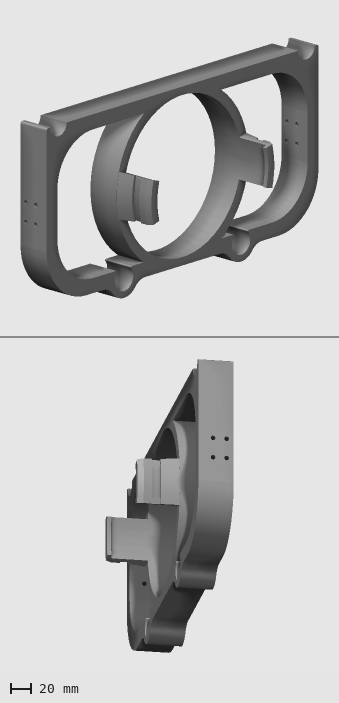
import cadquery as cq
import math

length = 380.0
depth = 34.5
half_height = 90.0
wall = 15.2
outer_corner_radius = 55.5
window_corner_radius = 49.5
top_edge_radius = 2.3

ring_inner_radius = 81.7
ring_outer_radius = 92.5

notch_radius = 11.5
notch_offset = 173.3
socket_offset = 81.7
socket_radius = 13.0
socket_lip_radius = 1.0
boss_radius = 19.8
socket_z = boss_radius - 104.5
boss_blend_radius = 18.0

screw_diameter = 4.5
screw_x_positions = (7.0, 20.0)
screw_z_offset = 10.0

arm_angle = 30.0
arm_end = 75.0
arm_root_radius = 92.0
arm_taper_radius = 89.3
groove_start = 52.5
groove_end = 60.8
groove_radius = 86.5
head_radius = 88.5
head_chamfer_start = 69.0
head_end_radius = 86.0
hook_tip_radius = 76.5
hook_start = 71.0
hook_corner_radius = 2.3
hook_tip_chamfer = 1.0


def cylinder(radius, y, z):
    """Cylinder along X through the full frame depth."""
    return cq.Workplane("YZ").center(y, z).circle(radius).extrude(depth)


def rounded_frame():
    body = cq.Workplane("YZ").rect(length, 2 * half_height).extrude(depth)
    body = body.edges("|X and <Z").fillet(outer_corner_radius)
    body = body.edges("|X and >Z").fillet(top_edge_radius)
    window = (
        cq.Workplane("YZ")
        .rect(length - 2 * wall, 2 * (half_height - wall))
        .extrude(depth)
        .edges("|X")
        .fillet(window_corner_radius)
    )
    return body.cut(window)


def socket_boss(y):
    """Round boss below the bottom bar, blended into it by tangent concave arcs."""
    bar_bottom = -half_height
    blend_z = bar_bottom - boss_blend_radius
    centre_distance = boss_radius + boss_blend_radius
    blend_dy = math.sqrt(centre_distance**2 - (socket_z - blend_z) ** 2)
    tangent_ratio = boss_radius / centre_distance
    tangent_dy = blend_dy * tangent_ratio
    tangent_z = socket_z + (blend_z - socket_z) * tangent_ratio
    blend_angle = (math.pi / 2 + math.atan2(socket_z - blend_z, blend_dy)) / 2
    middle_dy = blend_dy - boss_blend_radius * math.cos(blend_angle)
    middle_z = blend_z + boss_blend_radius * math.sin(blend_angle)
    bar_inside = wall - half_height
    return (
        cq.Workplane("YZ")
        .moveTo(y - blend_dy, bar_inside)
        .lineTo(y - blend_dy, bar_bottom)
        .threePointArc((y - middle_dy, middle_z), (y - tangent_dy, tangent_z))
        .threePointArc((y, socket_z - boss_radius), (y + tangent_dy, tangent_z))
        .threePointArc((y + middle_dy, middle_z), (y + blend_dy, bar_bottom))
        .lineTo(y + blend_dy, bar_inside)
        .close()
        .extrude(depth)
    )


def snap_arms():
    """Two opposite hooked arms, swept about the ring axis."""
    profile = (
        cq.Workplane("XY")
        .moveTo(depth, ring_inner_radius)
        .lineTo(depth, arm_root_radius)
        .lineTo(groove_start, arm_taper_radius)
        .lineTo(groove_start, groove_radius)
        .lineTo(groove_end, groove_radius)
        .lineTo(groove_end, head_radius)
        .lineTo(head_chamfer_start, head_radius)
        .lineTo(arm_end, head_end_radius)
        .lineTo(arm_end, hook_tip_radius + hook_tip_chamfer)
        .lineTo(arm_end - hook_tip_chamfer, hook_tip_radius)
        .lineTo(hook_start, hook_tip_radius)
        .lineTo(hook_start, ring_inner_radius - hook_corner_radius)
        .radiusArc((hook_start - hook_corner_radius, ring_inner_radius), -hook_corner_radius)
        .close()
    )
    arm = profile.revolve(arm_angle, (0, 0, 0), (1, 0, 0))
    arm = arm.rotate((0, 0, 0), (1, 0, 0), -arm_angle / 2)
    return arm.union(arm.mirror("XZ"))


def screw_holes(side):
    """Screw holes through one side wall only."""
    points = [(x, z) for x in screw_x_positions for z in (-screw_z_offset, screw_z_offset)]
    outer_y = length / 2 if side > 0 else wall - length / 2
    return (
        cq.Workplane("XZ", origin=(0, outer_y, 0))
        .pushPoints(points)
        .circle(screw_diameter / 2)
        .extrude(wall)
    )


def socket_lips():
    """Selectors for the four edges where the sockets open into the windows."""
    mouth_half_width = math.sqrt(socket_radius**2 - (wall - half_height - socket_z) ** 2)
    reach = 0.5
    return [
        cq.selectors.BoxSelector(
            (-reach, y - reach, wall - half_height - reach),
            (depth + reach, y + reach, wall - half_height + reach),
        )
        for side in (-1, 1)
        for y in (side * socket_offset - mouth_half_width, side * socket_offset + mouth_half_width)
    ]


bounds = cq.Workplane("YZ").rect(length, 2 * half_height).extrude(depth)
frame = rounded_frame().union(cylinder(ring_outer_radius, 0, 0).intersect(bounds))
for side in (-1, 1):
    frame = frame.union(socket_boss(side * socket_offset))
frame = frame.cut(cylinder(ring_inner_radius, 0, 0))
for side in (-1, 1):
    frame = frame.cut(cylinder(socket_radius, side * socket_offset, socket_z))
    frame = frame.cut(cylinder(notch_radius, side * notch_offset, half_height))
    frame = frame.cut(screw_holes(side))
for lip in socket_lips():
    frame = frame.edges("|X").edges(lip).fillet(socket_lip_radius)

result = frame.union(snap_arms())